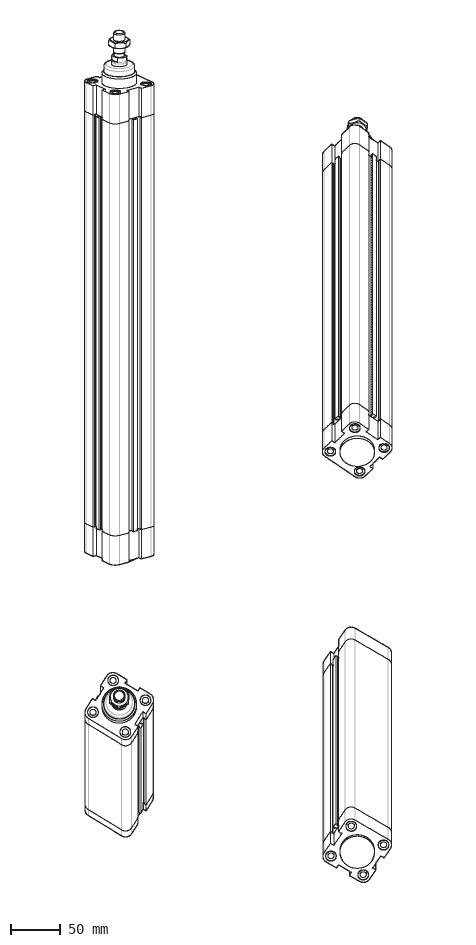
import cadquery as cq
import math


total_height = 563.0
body_width = 54.0
corner_radius = 7.5

cap_height = 31.5
foot_cap_bottom = 4.0
head_cap_top = 509.0
barrel_bottom = foot_cap_bottom + cap_height
barrel_top = head_cap_top - cap_height
barrel_height = barrel_top - barrel_bottom

groove_angles = (-90, 0, 90)
groove_width = 15.0
groove_depth = 4.0

rib_width = 5.0
lip_thickness = 2.0
undercut = 1.0

screw_offset = 19.0
recess_diameter = 10.5
recess_depth = 1.0
screw_hole_diameter = 6.0

spigot_diameter = 35.0
spigot_chamfer = 1.5
head_spigot_height = 12.0
spigot_top = head_cap_top + head_spigot_height
collar_diameter = 31.0
collar_fillet = 2.0
collar_height = 8.0
collar_top = spigot_top + collar_height

rod_diameter = 16.0
shoulder_height = 4.5
shoulder_taper_height = 1.5
flats_diameter = 15.0
flats_width = 12.0
flats_height = 4.5
neck_diameter = 10.0
neck_height = 4.0
thread_diameter = 12.0
thread_chamfer = 1.0
shoulder_top = collar_top + shoulder_height
flats_top = shoulder_top + flats_height
neck_top = flats_top + neck_height

nut_width = 19.0
nut_face_diameter = 18.0
nut_chamfer_angle = math.radians(30)
nut_height = 7.0
nut_top = 555.0
nut_bottom = nut_top - nut_height


def cylinder(diameter, bottom, top):
    """Upright cylinder on the part's axis between two levels."""
    return cq.Workplane("XY").workplane(offset=bottom).circle(diameter / 2).extrude(top - bottom)


def side_bars(width, depth, bottom, height):
    """Upright bars lying just inside the middle of each grooved side."""
    bar = (
        cq.Workplane("XY")
        .box(width, depth, height, centered=(True, True, False))
        .translate((0, (depth - body_width) / 2, bottom))
    )
    return [bar.rotate((0, 0, 0), (0, 0, 1), angle) for angle in groove_angles]


def grooved_block(bottom, height):
    """Square block with rounded corners and a groove along three of its sides."""
    block = (
        cq.Workplane("XY")
        .workplane(offset=bottom)
        .rect(body_width, body_width)
        .extrude(height)
        .edges("|Z")
        .fillet(corner_radius)
    )
    for groove in side_bars(groove_width, groove_depth, bottom, height):
        block = block.cut(groove)
    return block


def cut_screw_holes(cap, outer_face, direction):
    """Cut a through hole with a shallow recess into each corner, starting from the outer face."""
    spacing = 2 * screw_offset
    for diameter, depth in ((recess_diameter, recess_depth), (screw_hole_diameter, cap_height)):
        holes = (
            cq.Workplane("XY")
            .workplane(offset=outer_face)
            .rarray(spacing, spacing, 2, 2)
            .circle(diameter / 2)
            .extrude(direction * depth)
        )
        cap = cap.cut(holes)
    return cap


def make_foot_cap():
    cap = grooved_block(foot_cap_bottom, cap_height)
    cap = cut_screw_holes(cap, foot_cap_bottom, 1)
    return cap.union(cylinder(spigot_diameter, 0, foot_cap_bottom))


def make_barrel():
    barrel = grooved_block(barrel_bottom, barrel_height)
    undercut_width = groove_width + 2 * undercut
    stem_width = rib_width - 2 * undercut
    full_depth = (groove_depth, barrel_bottom, barrel_height)
    lip_depth = (lip_thickness, barrel_bottom, barrel_height)
    wide_bars = side_bars(undercut_width, *full_depth)
    outer_bars = side_bars(undercut_width, *lip_depth)
    stems = side_bars(stem_width, *full_depth)
    heads = side_bars(rib_width, *lip_depth)
    for wide_bar, outer_bar, stem, head in zip(wide_bars, outer_bars, stems, heads):
        chamber = wide_bar.cut(outer_bar)
        barrel = barrel.cut(chamber).union(stem).union(head)
    return barrel


def make_head_cap():
    cap = grooved_block(barrel_top, cap_height)
    cap = cut_screw_holes(cap, head_cap_top, -1)
    spigot = cylinder(spigot_diameter, head_cap_top, spigot_top).faces(">Z").chamfer(spigot_chamfer)
    collar = cylinder(collar_diameter, spigot_top, collar_top).faces(">Z").edges().fillet(collar_fillet)
    rod_hole = cylinder(rod_diameter, barrel_top, collar_top)
    return cap.union(spigot).union(collar).cut(rod_hole)


def make_rod():
    shoulder_step = (rod_diameter - flats_diameter) / 2
    shaft = (
        cylinder(rod_diameter, barrel_top, shoulder_top)
        .faces(">Z")
        .chamfer(shoulder_taper_height, shoulder_step)
    )
    flats_bar = (
        cq.Workplane("XY")
        .box(rod_diameter, flats_width, flats_height, centered=(True, True, False))
        .translate((0, 0, shoulder_top))
    )
    flats = cylinder(flats_diameter, shoulder_top, flats_top).intersect(flats_bar)
    neck = cylinder(neck_diameter, flats_top, neck_top)
    thread = cylinder(thread_diameter, neck_top, total_height).faces(">Z").chamfer(thread_chamfer)
    return shaft.union(flats).union(neck).union(thread)


def make_nut():
    corner_diameter = nut_width / math.cos(math.pi / 6)
    hexagon = (
        cq.Workplane("XY")
        .workplane(offset=nut_bottom)
        .polygon(6, corner_diameter)
        .circle(thread_diameter / 2)
        .extrude(nut_height)
    )
    chamfer_width = (corner_diameter - nut_face_diameter) / 2
    chamfer_height = chamfer_width * math.tan(nut_chamfer_angle)
    envelope = (
        cq.Workplane("XZ")
        .moveTo(0, nut_bottom)
        .lineTo(nut_face_diameter / 2, nut_bottom)
        .lineTo(corner_diameter / 2, nut_bottom + chamfer_height)
        .lineTo(corner_diameter / 2, nut_top - chamfer_height)
        .lineTo(nut_face_diameter / 2, nut_top)
        .lineTo(0, nut_top)
        .close()
        .revolve(360, (0, 0, 0), (0, 1, 0))
    )
    return hexagon.intersect(envelope)


foot_cap = make_foot_cap()
barrel = make_barrel()
head_cap = make_head_cap()
rod = make_rod()
nut = make_nut()

result = cq.Compound.makeCompound([foot_cap.val(), barrel.val(), head_cap.val(), rod.val(), nut.val()])